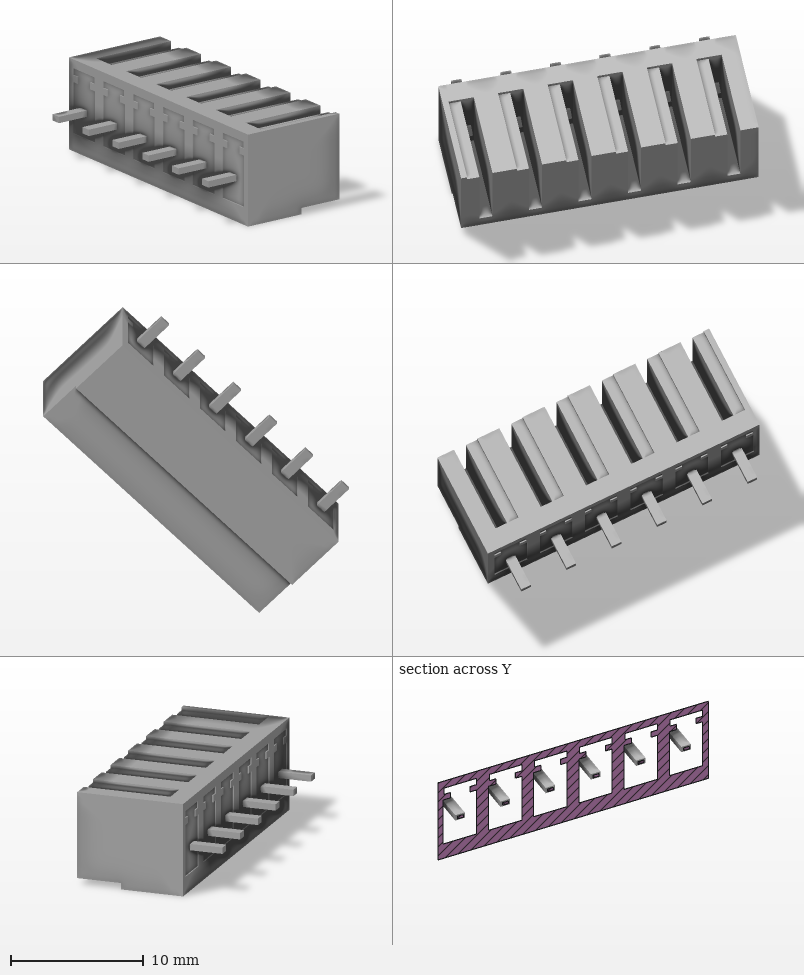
import cadquery as cq

PIN_COUNT = 6
HOUSING_LENGTH = 22.85
PITCH = HOUSING_LENGTH / PIN_COUNT

HOUSING_DEPTH = 8.5
HOUSING_HEIGHT = 7.3
STEP_HEIGHT = 0.5
STEP_DEPTH = 3.52

RECESS_DEPTH = 0.1
RECESS_TOP = 0.7
BAR_HEIGHT = 0.55
NECK_HEIGHT = 0.55
WELL_HEIGHT = 4.1
BAR_WIDTH = 2.7
NECK_WIDTH = 1.6
WELL_EXTRA_WIDTH = 0.07

TAIL_WALL = 1.53
SLOT_WIDTH = 1.0
LEDGE_WIDTH = 0.94
LEDGE_DEPTH = 0.25

TAIL_LENGTH = 2.6
TAIL_WIDTH = 0.8
TAIL_HEIGHT = 0.5
PIN_CENTRE_Z = 3.45
BLADE_WIDTH = 0.55
BLADE_HEIGHT = 0.3
BLADE_LENGTH = 0.82
TIP_LENGTH = 0.65
TIP_DROP = 0.25

recess_top_z = HOUSING_HEIGHT - RECESS_TOP
bar_bottom_z = recess_top_z - BAR_HEIGHT
neck_bottom_z = bar_bottom_z - NECK_HEIGHT
well_bottom_z = neck_bottom_z - WELL_HEIGHT

position_centres = [(i + 0.5) * PITCH for i in range(PIN_COUNT)]


def box(x_range, y_range, z_range):
    """Axis-aligned block given by its limits along each axis."""
    (x0, x1), (y0, y1), (z0, z1) = x_range, y_range, z_range
    return cq.Workplane("XY").box(x1 - x0, y1 - y0, z1 - z0, centered=False).translate((x0, y0, z0))


def make_tail_recess(centre_x):
    """Shallow recess with a bar at the top, a narrow neck and a tall well below."""
    left = centre_x - BAR_WIDTH / 2
    right = centre_x + BAR_WIDTH / 2
    neck_left = centre_x - NECK_WIDTH / 2
    neck_right = centre_x + NECK_WIDTH / 2
    depth_range = (0, RECESS_DEPTH)
    bar = box((left, right), depth_range, (bar_bottom_z, recess_top_z))
    neck = box((neck_left, neck_right), depth_range, (neck_bottom_z, bar_bottom_z))
    well = box((left, right + WELL_EXTRA_WIDTH), depth_range, (well_bottom_z, neck_bottom_z))
    return bar.union(neck).union(well)


def make_top_slot(centre_x):
    """Deep slot down to the level of the recess bottom, with a shallow ledge along its right side."""
    left = centre_x - SLOT_WIDTH / 2
    right = centre_x + SLOT_WIDTH / 2
    depth_range = (TAIL_WALL, HOUSING_DEPTH)
    slot = box((left, right), depth_range, (well_bottom_z, HOUSING_HEIGHT))
    ledge = box((left, right + LEDGE_WIDTH), depth_range, (HOUSING_HEIGHT - LEDGE_DEPTH, HOUSING_HEIGHT))
    return slot.union(ledge)


def make_blade(centre_x):
    """Thin blade through the housing wall, with a sloping top at its free end inside the slot."""
    bottom = -BLADE_HEIGHT / 2
    top = BLADE_HEIGHT / 2
    blade_end = TAIL_WALL + BLADE_LENGTH
    return (
        cq.Workplane("YZ", origin=(centre_x, 0, PIN_CENTRE_Z))
        .moveTo(0, bottom)
        .lineTo(blade_end, bottom)
        .lineTo(blade_end, top - TIP_DROP)
        .lineTo(blade_end - TIP_LENGTH, top)
        .lineTo(0, top)
        .close()
        .extrude(BLADE_WIDTH / 2, both=True)
    )


def make_pin(centre_x):
    """Rectangular tail that starts level with the tail face, joined to its smaller blade."""
    tail = box(
        (centre_x - TAIL_WIDTH / 2, centre_x + TAIL_WIDTH / 2),
        (-TAIL_LENGTH, 0),
        (PIN_CENTRE_Z - TAIL_HEIGHT / 2, PIN_CENTRE_Z + TAIL_HEIGHT / 2),
    )
    return tail.union(make_blade(centre_x))


def make_housing():
    """Block with a stepped underside, tail recesses, top slots and holes for the pins."""
    body = box((0, HOUSING_LENGTH), (0, HOUSING_DEPTH), (0, HOUSING_HEIGHT))
    step_start = HOUSING_DEPTH - STEP_DEPTH
    underside_step = box((0, HOUSING_LENGTH), (step_start, HOUSING_DEPTH), (0, STEP_HEIGHT))
    body = body.cut(underside_step)
    for centre_x in position_centres:
        body = body.cut(make_tail_recess(centre_x))
        body = body.cut(make_top_slot(centre_x))
        body = body.cut(make_blade(centre_x))
    return body


housing = make_housing()
pins = [make_pin(centre_x) for centre_x in position_centres]

result = cq.Compound.makeCompound([housing.val(), *[pin.val() for pin in pins]])